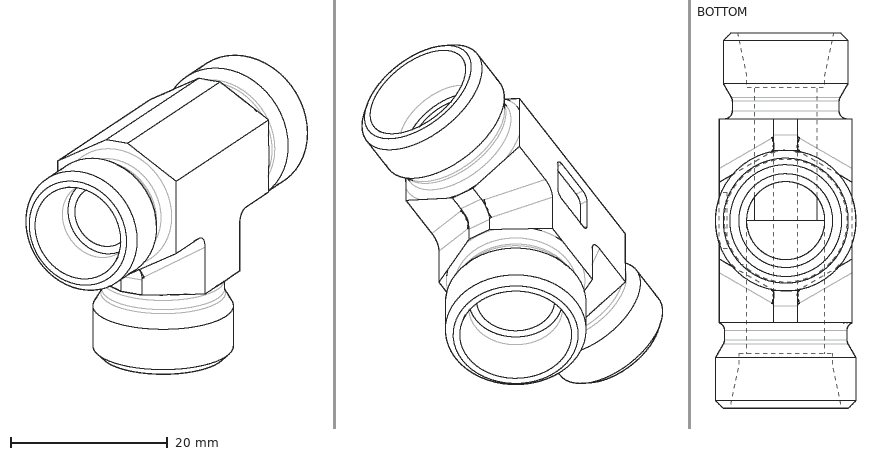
import cadquery as cq
import math


port_reach = 24.0
shoulder_reach = 13.0

body_width = 17.0
body_half_height = 8.95
crotch_radius = 2.0

end_chamfer = 1.0
thread_length = 6.5
neck_depth = 1.15
neck_cone_angle = 30.0
neck_radius = 1.0
flare_radius = 1.0

socket_depth = 7.0
mouth_angle = 12.0
mouth_step = 1.15

large_port = (18.0, 12.0, 10.0)
small_port = (16.0, 10.0, 8.0)

recess_size = 7.15
recess_corner = 1.0
recess_depth = 1.0
recess_z = -1.0


def hex_bar(length):
    """Truncated hexagonal bar along +Z, starting at the origin, with flats facing X."""
    half_width = body_width / 2
    slope = math.tan(math.radians(30))
    side_corner = half_width * slope
    flat_half = half_width - (body_half_height - side_corner) / slope
    outline = [
        (half_width, side_corner),
        (flat_half, body_half_height),
        (-flat_half, body_half_height),
        (-half_width, side_corner),
        (-half_width, -side_corner),
        (-flat_half, -body_half_height),
        (flat_half, -body_half_height),
        (half_width, -side_corner),
    ]
    return cq.Workplane("XY").polyline(outline).close().extrude(length)


def port_outside(thread_diameter):
    """Threaded end along +Z with its neck, flaring into the body face."""
    thread = thread_diameter / 2
    neck = thread - neck_depth
    cone_slope = math.tan(math.radians(neck_cone_angle))
    cone_start = port_reach - thread_length
    cone_foot = cone_start - neck_depth / cone_slope

    half_turn = math.radians(neck_cone_angle / 2)
    arc_centre = neck + neck_radius
    arc_low = cone_foot - neck_radius * math.tan(half_turn)
    arc_mid = (arc_centre - neck_radius * math.cos(half_turn), arc_low + neck_radius * math.sin(half_turn))
    arc_end = (
        arc_centre - neck_radius * math.cos(2 * half_turn),
        arc_low + neck_radius * math.sin(2 * half_turn),
    )
    turned = (
        cq.Workplane("XZ")
        .moveTo(0, shoulder_reach)
        .lineTo(neck, shoulder_reach)
        .lineTo(neck, arc_low)
        .threePointArc(arc_mid, arc_end)
        .lineTo(thread, cone_start)
        .lineTo(thread, port_reach - end_chamfer)
        .lineTo(thread - end_chamfer, port_reach)
        .lineTo(0, port_reach)
        .close()
        .revolve(360, (0, 0, 0), (0, 1, 0))
    )

    flare_top = shoulder_reach + flare_radius
    flare_sag = flare_radius * (1 - math.sqrt(0.5))
    flare = (
        cq.Workplane("XZ")
        .moveTo(0, shoulder_reach)
        .lineTo(neck + flare_radius, shoulder_reach)
        .threePointArc((neck + flare_sag, shoulder_reach + flare_sag), (neck, flare_top))
        .lineTo(0, flare_top)
        .close()
        .revolve(360, (0, 0, 0), (0, 1, 0))
    )
    return turned.union(flare.intersect(hex_bar(flare_top)))


def port_inside(socket_diameter, bore_diameter):
    """Cutter along +Z: bore from the tee centre, tube socket and sealing cone."""
    socket = socket_diameter / 2
    bore = bore_diameter / 2
    cone_length = mouth_step / math.tan(math.radians(mouth_angle))
    tube_stop = port_reach - socket_depth
    outline = [
        (0, 0),
        (bore, 0),
        (bore, tube_stop),
        (socket, tube_stop),
        (socket, port_reach - cone_length),
        (socket + mouth_step, port_reach),
        (0, port_reach),
    ]
    return cq.Workplane("XZ").polyline(outline).close().revolve(360, (0, 0, 0), (0, 1, 0))


def tee_body():
    """Run bar and branch bar joined with filleted crotches."""
    run = hex_bar(2 * shoulder_reach).translate((0, 0, -shoulder_reach)).rotate((0, 0, 0), (1, 0, 0), 90)
    branch = hex_bar(shoulder_reach).rotate((0, 0, 0), (1, 0, 0), 180)
    joined = run.union(branch)
    near = body_half_height / 3
    far = (body_half_height + shoulder_reach) / 2
    for near_y, far_y in [(near, far), (-near, -far)]:
        crease_zone = cq.selectors.BoxSelector(
            (-body_width, near_y, -near),
            (body_width, far_y, -far),
            boundingbox=True,
        )
        joined = joined.edges(crease_zone).fillet(crotch_radius)
    return joined


def recess():
    """Rounded square cutter sunk into the -X flat."""
    return (
        cq.Workplane("YZ", origin=(-body_width / 2, 0, recess_z))
        .rect(recess_size, recess_size)
        .extrude(recess_depth)
        .edges("|X")
        .fillet(recess_corner)
    )


ports = [(-90, large_port), (180, large_port), (90, small_port)]

result = tee_body()
for turn, (thread_diameter, _, _) in ports:
    result = result.union(port_outside(thread_diameter).rotate((0, 0, 0), (1, 0, 0), turn))
for turn, (_, socket_diameter, bore_diameter) in ports:
    result = result.cut(port_inside(socket_diameter, bore_diameter).rotate((0, 0, 0), (1, 0, 0), turn))
result = result.cut(recess())